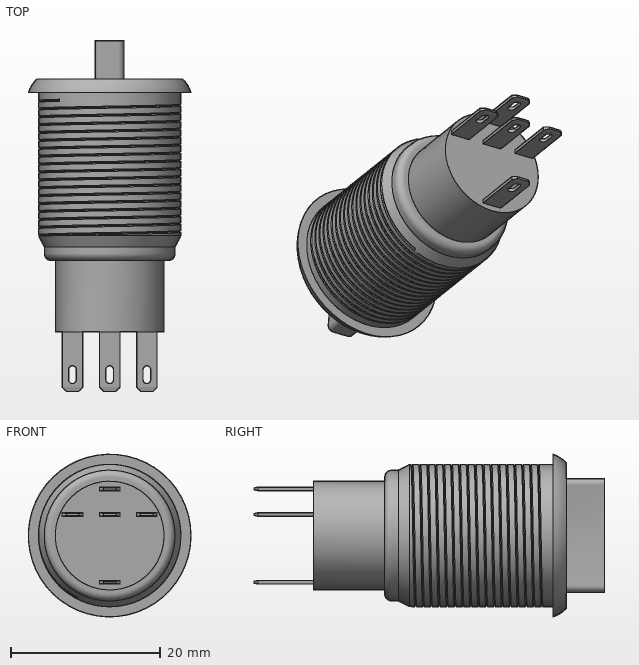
import cadquery as cq
import math


total_length = 47.0
flange_diameter = 21.8
flange_face_diameter = 19.5
flange_thickness = 1.85
flange_bulge = 0.15

knob_length = 5.1
knob_width = 4.15
knob_height = 15.28
knob_corner_radius = 0.8
knob_waist_depth = 0.55

barrel_diameter = 19.1
barrel_length = 19.18
cone_length = 1.5
collar_diameter = 17.55
collar_length = 1.85
collar_fillet = 0.95

housing_diameter = 14.55
housing_end = 32.05

thread_pitch = 1.058
thread_turns = 17.3
thread_front = 1.05
thread_front_angle = 225.0
groove_width = 0.3
groove_depth = 0.25

terminal_width = 2.75
terminal_thickness = 0.5
terminal_tip_chamfer = 0.55
terminal_tip_bevel = 0.118
terminal_spacing = 5.0
terminal_row_height = 2.8
terminal_outer_height = 6.25
slot_width = 1.0
slot_length = 2.35
slot_center_from_tip = 2.25

flange_front = flange_thickness
knob_tip = flange_front + knob_length
terminal_tip = total_length - knob_tip
cone_end = barrel_length + cone_length
collar_end = cone_end + collar_length
barrel_radius = barrel_diameter / 2


def make_body():
    """Flange, barrel, cone, collar and housing as one turned profile."""
    flange_radius = flange_diameter / 2
    face_radius = flange_face_diameter / 2
    collar_radius = collar_diameter / 2
    slope = math.hypot(flange_thickness, flange_radius - face_radius)
    bulge_point = (
        (flange_radius + face_radius) / 2 + flange_bulge * flange_thickness / slope,
        flange_front / 2 + flange_bulge * (flange_radius - face_radius) / slope,
    )
    fillet_diagonal = collar_fillet * (1 - math.sqrt(0.5))
    profile = (
        cq.Workplane("XY")
        .moveTo(0, flange_front)
        .lineTo(face_radius, flange_front)
        .threePointArc(bulge_point, (flange_radius, 0))
        .lineTo(barrel_radius, 0)
        .lineTo(barrel_radius, -barrel_length)
        .lineTo(collar_radius, -cone_end)
        .lineTo(collar_radius, -collar_end + collar_fillet)
        .threePointArc(
            (collar_radius - fillet_diagonal, -collar_end + fillet_diagonal),
            (collar_radius - collar_fillet, -collar_end),
        )
        .lineTo(housing_diameter / 2, -collar_end)
        .lineTo(housing_diameter / 2, -housing_end)
        .lineTo(0, -housing_end)
        .close()
    )
    return profile.revolve(360, (0, 0, 0), (0, 1, 0))


def make_thread_groove():
    """Right-handed helical V groove, ready to cut from the barrel."""
    overcut = 0.05
    half_mouth = groove_width / 2 * (1 + overcut / groove_depth)
    height = thread_pitch * thread_turns
    helix = cq.Wire.makeHelix(thread_pitch, height, barrel_radius)
    groove = (
        cq.Workplane("XZ")
        .polyline([
            (barrel_radius + overcut, -half_mouth),
            (barrel_radius + overcut, half_mouth),
            (barrel_radius - groove_depth, 0),
        ])
        .close()
        .sweep(cq.Workplane(helix), isFrenet=True)
    )
    start_angle = thread_front_angle - 360 * thread_turns
    return (
        groove.rotate((0, 0, 0), (0, 0, 1), start_angle)
        .rotate((0, 0, 0), (1, 0, 0), -90)
        .translate((0, -thread_front - height, 0))
    )


def make_knob():
    """Grip bar with slightly hollow sides and rounded long edges."""
    half_width = knob_width / 2
    half_height = knob_height / 2
    waist = half_width - knob_waist_depth
    return (
        cq.Workplane("XZ", origin=(0, knob_tip, 0))
        .moveTo(-half_width, -half_height)
        .lineTo(half_width, -half_height)
        .threePointArc((waist, 0), (half_width, half_height))
        .lineTo(-half_width, half_height)
        .threePointArc((-waist, 0), (-half_width, -half_height))
        .close()
        .extrude(knob_length)
        .edges("|Y")
        .fillet(knob_corner_radius)
    )


def make_terminal(x, z):
    """Flat slotted lug with a tapered tip, bevelled on both faces."""
    length = terminal_tip - housing_end
    lug = (
        cq.Workplane("XY")
        .box(terminal_width, length, terminal_thickness)
        .edges("|Z and <Y")
        .chamfer(terminal_tip_chamfer)
        .translate((0, length / 2 - terminal_tip, 0))
    )
    slot = (
        cq.Workplane("XY")
        .center(0, slot_center_from_tip - terminal_tip)
        .slot2D(slot_length, slot_width, 90)
        .extrude(terminal_thickness, both=True)
    )
    face = terminal_thickness / 2
    bevel = (
        cq.Workplane("YZ")
        .polyline([
            (-terminal_tip, face),
            (-terminal_tip + terminal_tip_chamfer, face),
            (-terminal_tip, face - terminal_tip_bevel),
        ])
        .close()
        .extrude(terminal_width, both=True)
    )
    return lug.cut(slot).cut(bevel).cut(bevel.mirror("XY")).translate((x, 0, z))


result = make_body().cut(make_thread_groove()).union(make_knob())

terminal_places = [
    (-terminal_spacing, terminal_row_height),
    (0, terminal_row_height),
    (terminal_spacing, terminal_row_height),
    (0, terminal_outer_height),
    (0, -terminal_outer_height),
]
for x, z in terminal_places:
    result = result.union(make_terminal(x, z))